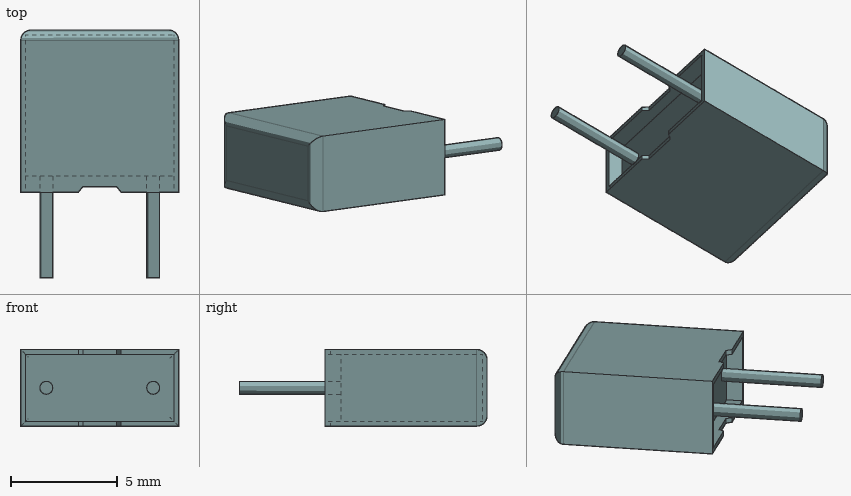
import cadquery as cq

overall_length = 11.6
housing_width = 7.4
housing_height = 3.6
lead_exposed = 4.0
wall = 0.23
back_round = 0.5
potting_recess = 0.75
lead_diameter = 0.6
lead_pitch = 5.0
notch_mouth = 2.0
notch_floor = 1.58
notch_depth = 0.25

housing_length = overall_length - lead_exposed
cavity_width = housing_width - 2 * wall
cavity_height = housing_height - 2 * wall
cavity_depth = housing_length - wall


def block(width, height, y_start, y_end):
    """Box centred on the Y axis, spanning y_start to y_end."""
    return (
        cq.Workplane("XY")
        .box(width, y_end - y_start, height, centered=(True, False, True))
        .translate((0, y_start, 0))
    )


def rim_notch():
    """Tapered notch that cuts through both wide walls at the open rim."""
    outline = [
        (-notch_mouth / 2, 0),
        (notch_mouth / 2, 0),
        (notch_floor / 2, notch_depth),
        (-notch_floor / 2, notch_depth),
    ]
    return cq.Workplane("XY").polyline(outline).close().extrude(housing_height, both=True)


def make_housing():
    """Open box with a rounded back and a notched rim."""
    shell = block(housing_width, housing_height, 0, housing_length)
    shell = shell.faces(">Y").edges().fillet(back_round)
    shell = shell.cut(block(cavity_width, cavity_height, 0, cavity_depth))
    return shell.cut(rim_notch())


def make_potting():
    """Filling of the cavity, set back from the rim."""
    return block(cavity_width, cavity_height, potting_recess, cavity_depth)


def make_lead(x):
    """Round lead standing on the potting face."""
    return (
        cq.Workplane("XZ", origin=(x, potting_recess, 0))
        .circle(lead_diameter / 2)
        .extrude(potting_recess + lead_exposed)
    )


housing = make_housing()
potting = make_potting()
leads = [make_lead(side * lead_pitch / 2) for side in (-1, 1)]

result = cq.Compound.makeCompound([housing.val(), potting.val(), *[lead.val() for lead in leads]])